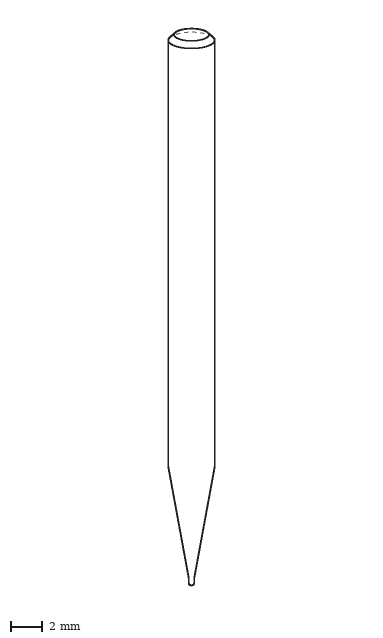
import cadquery as cq
import math

total_length = 38.0
shank_diameter = 3.0
top_chamfer = 0.38
taper_top_height = 8.17
neck_top_height = 0.55
tip_diameter = 0.38

shank_radius = shank_diameter / 2
tip_radius = tip_diameter / 2
tip_mid_radius = tip_radius * math.sin(math.pi / 4)
tip_mid_height = tip_radius * (1 - math.cos(math.pi / 4))

half_profile = (
    cq.Workplane("XZ")
    .moveTo(0, 0)
    .threePointArc((tip_mid_radius, tip_mid_height), (tip_radius, tip_radius))
    .lineTo(tip_radius, neck_top_height)
    .lineTo(shank_radius, taper_top_height)
    .lineTo(shank_radius, total_length - top_chamfer)
    .lineTo(shank_radius - top_chamfer, total_length)
    .lineTo(0, total_length)
    .close()
)

result = half_profile.revolve(360, (0, 0, 0), (0, 1, 0))